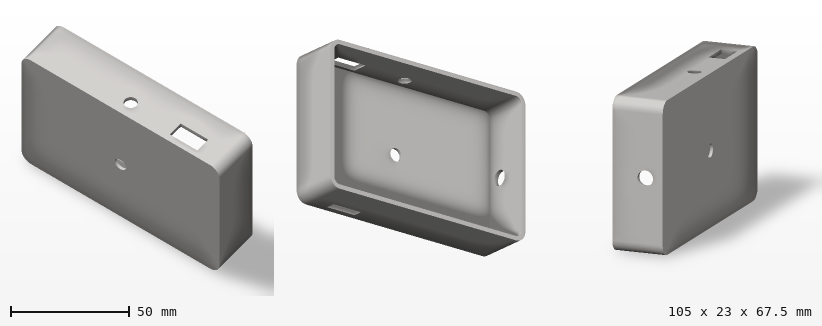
import cadquery as cq

width = 105.0
depth = 23.0
height = 67.5
wall = 2.0
front_wall = 1.4
corner_radius = 5.0
front_y = -depth / 2

front_hole_diameter = 6.0
top_hole_diameter = 6.0
top_hole_offset = 7.1
side_hole_diameter = 7.0
side_hole_offset = 8.0

slot_x = 31.2
slot_width = 14.6
slot_front_offset = 3.2
top_slot_depth = 7.6
bottom_slot_depth = 4.4

dimple_sphere_diameter = 6.0
dimple_sphere_inset = 2.1
dimple_back_offset = 3.0
dimple_top_offset = 15.0


def box(size_x, size_y, size_z, center):
    return cq.Workplane("XY").box(size_x, size_y, size_z).translate(center)


def cylinder(diameter, length, start, direction):
    return cq.Workplane(
        cq.Solid.makeCylinder(diameter / 2, length, cq.Vector(*start), cq.Vector(*direction))
    )


def make_shell():
    inner_depth = depth - front_wall
    outer = box(width, depth, height, (0, 0, 0)).edges("|Y").fillet(corner_radius)
    cavity = box(width - 2 * wall, inner_depth, height - 2 * wall, (0, front_wall / 2, 0))
    return outer.cut(cavity.edges("|Y").fillet(corner_radius - wall))


def wall_slot(slot_depth, side):
    """Opening through the top (side = 1) or bottom (side = -1) wall."""
    center_y = front_y + slot_front_offset + slot_depth / 2
    center_z = side * (height - wall) / 2
    return box(slot_width, slot_depth, 2 * wall, (slot_x, center_y, center_z))


hole_length = 2 * wall
front_hole = cylinder(front_hole_diameter, hole_length, (0, front_y, 0), (0, 1, 0))
top_hole = cylinder(top_hole_diameter, hole_length, (0, front_y + top_hole_offset, height / 2), (0, 0, -1))
side_hole = cylinder(side_hole_diameter, hole_length, (-width / 2, front_y + side_hole_offset, 0), (1, 0, 0))

dimple_center = (
    width / 2 - wall - dimple_sphere_inset,
    depth / 2 - dimple_back_offset,
    height / 2 - dimple_top_offset,
)
dimple_sphere = cq.Workplane("XY").sphere(dimple_sphere_diameter / 2, direct=(1, 0, 0))
dimple = dimple_sphere.translate(dimple_center)

result = make_shell()
for cutter in (
    front_hole,
    top_hole,
    side_hole,
    wall_slot(top_slot_depth, 1),
    wall_slot(bottom_slot_depth, -1),
    dimple,
):
    result = result.cut(cutter)